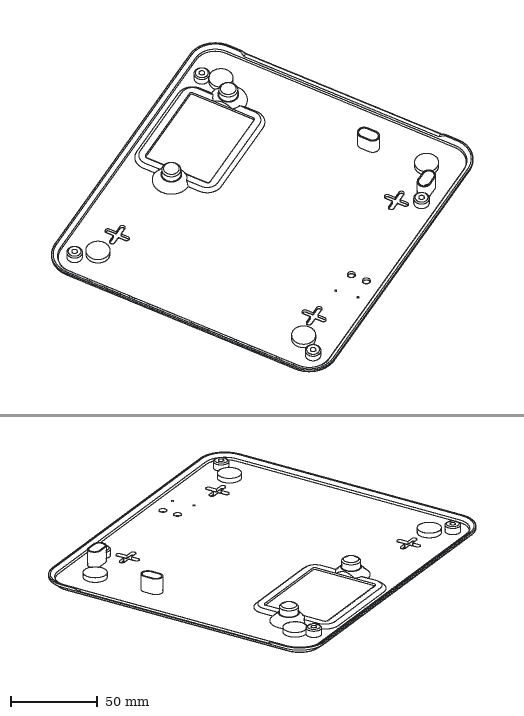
import cadquery as cq

LENGTH_X = 183.33
LENGTH_Y = 196.83
TOTAL_HEIGHT = 12.0
FLOOR_TOP = 2.0
RIM_HEIGHT = 5.0
CORNER_RADIUS = 16.5
FLARE_HEIGHT = 3.6
FLARE_INSET = 4.2
RIM_WIDTH = 1.0
FLOOR_INSET = 3.9
FLOOR_WALL_HEIGHT = 1.4
FLOOR_WALL_RUN = 0.4

NOTCH_DEPTH = 1.0
NOTCH_BOTTOM_LENGTH = 128.0
NOTCH_END_RUN = 3.0
NOTCH_REACH = 6.0

FRAME_CENTER = (-57.0, 29.6)
FRAME_SIZE = (55.5, 69.0)
FRAME_TOP = 4.0
FRAME_SLOPE_INSET = 2.3
FRAME_CORNER_RADIUS = 9.3
RECESS_SIZE = (42.4, 56.0)
RECESS_FLOOR = 3.0
RECESS_WALL_INSET = 0.4
RECESS_CORNER_RADIUS = 1.5

POST_SPACING = 69.0
CONE_BOTTOM_DIAMETER = 22.0
CONE_TOP_DIAMETER = 12.0
CONE_TOP = 7.0
POST_DIAMETER = 11.0
POST_CHAMFER = 1.0

PAD_DIAMETER = 14.0
PAD_HEIGHT = 3.0
PAD_OFFSET = (67.5, 74.5)

SCREW_BOSS_DIAMETER = 9.0
SCREW_BOSS_TOP = 6.8
SCREW_BOSS_CHAMFER = 0.8
SCREW_HOLE_DIAMETER = 3.2
SCREW_X = 78.25
SCREW_POINTS = [(-SCREW_X, 71.3), (SCREW_X, 48.5), (-SCREW_X, -82.9), (SCREW_X, -82.9)]

SLEEVE_LENGTH = 13.5
SLEEVE_WIDTH = 8.0
SLEEVE_BORE_WIDTH = 6.5
SLEEVES = [((30.6, 72.2), 0), ((76.0, 58.6), 90)]

CROSS_LENGTH = 15.4
CROSS_WIDTH = 3.2
CROSS_X = 64.6
CROSS_POINTS = [(CROSS_X, 43.2), (CROSS_X, -56.4), (-CROSS_X, -56.4)]

LIGHT_HOLE_DIAMETER = 4.5
LIGHT_HOLE_POINTS = [(68.6, -18.7), (78.5, -18.7)]
PIN_HOLE_DIAMETER = 1.0
PIN_HOLE_POINTS = [(66.5, -33.6), (80.2, -32.1)]


def rounded_sketch(size, radius):
    return cq.Sketch().rect(size[0], size[1]).vertices().fillet(radius)


def rounded_frustum(size, radius, bottom_inset, top_inset, z_bottom, z_top):
    """Rounded rectangle, inset by different amounts at its bottom and top."""
    def section(inset):
        return rounded_sketch((size[0] - 2 * inset, size[1] - 2 * inset), radius - inset)

    bottom = section(bottom_inset)
    top = section(top_inset).moved(cq.Location(cq.Vector(0, 0, z_top - z_bottom)))
    return cq.Workplane("XY").workplane(offset=z_bottom).placeSketch(bottom, top).loft()


def cylinders(points, diameter, z_bottom, z_top):
    plane = cq.Workplane("XY").workplane(offset=z_bottom)
    return plane.pushPoints(points).circle(diameter / 2).extrude(z_top - z_bottom)


def slot(center, length, width, angle, z_bottom, z_top):
    plane = cq.Workplane("XY").workplane(offset=z_bottom)
    return plane.center(*center).slot2D(length, width, angle).extrude(z_top - z_bottom)


def make_tray():
    size = (LENGTH_X, LENGTH_Y)
    flare = rounded_frustum(size, CORNER_RADIUS, FLARE_INSET, 0, 0, FLARE_HEIGHT)
    lip = (
        cq.Workplane("XY")
        .workplane(offset=FLARE_HEIGHT)
        .placeSketch(rounded_sketch(size, CORNER_RADIUS))
        .extrude(RIM_HEIGHT - FLARE_HEIGHT)
    )
    slope_bottom = FLOOR_TOP + FLOOR_WALL_HEIGHT
    slope_inset = FLOOR_INSET - FLOOR_WALL_RUN
    floor_pocket = rounded_frustum(
        size, CORNER_RADIUS, FLOOR_INSET, slope_inset, FLOOR_TOP, slope_bottom
    )
    slope = rounded_frustum(size, CORNER_RADIUS, slope_inset, RIM_WIDTH, slope_bottom, RIM_HEIGHT)
    return flare.union(lip).cut(floor_pocket).cut(slope)


def make_rim_notch():
    half_bottom = NOTCH_BOTTOM_LENGTH / 2
    half_top = half_bottom + NOTCH_END_RUN
    z_bottom = RIM_HEIGHT - NOTCH_DEPTH
    return (
        cq.Workplane("XZ", origin=(0, LENGTH_Y / 2, 0))
        .moveTo(-half_bottom, z_bottom)
        .lineTo(half_bottom, z_bottom)
        .lineTo(half_top, RIM_HEIGHT)
        .lineTo(-half_top, RIM_HEIGHT)
        .close()
        .extrude(NOTCH_REACH)
    )


def make_frame():
    frame = rounded_frustum(
        FRAME_SIZE, FRAME_CORNER_RADIUS, 0, FRAME_SLOPE_INSET, FLOOR_TOP, FRAME_TOP
    )
    return frame.translate((*FRAME_CENTER, 0))


def make_recess():
    """Recess with sloped walls, continued straight up to clear the cone feet."""
    slope = rounded_frustum(
        RECESS_SIZE, RECESS_CORNER_RADIUS, RECESS_WALL_INSET, 0, RECESS_FLOOR, FRAME_TOP
    )
    clearance = (
        cq.Workplane("XY")
        .workplane(offset=FRAME_TOP)
        .placeSketch(rounded_sketch(RECESS_SIZE, RECESS_CORNER_RADIUS))
        .extrude(TOTAL_HEIGHT - FRAME_TOP)
    )
    return slope.union(clearance).translate((*FRAME_CENTER, 0))


def make_post(center):
    post_radius = POST_DIAMETER / 2
    return (
        cq.Workplane("XZ")
        .moveTo(0, FLOOR_TOP)
        .lineTo(CONE_BOTTOM_DIAMETER / 2, FLOOR_TOP)
        .lineTo(CONE_TOP_DIAMETER / 2, CONE_TOP)
        .lineTo(post_radius, CONE_TOP)
        .lineTo(post_radius, TOTAL_HEIGHT - POST_CHAMFER)
        .lineTo(post_radius - POST_CHAMFER, TOTAL_HEIGHT)
        .lineTo(0, TOTAL_HEIGHT)
        .close()
        .revolve(360, (0, 0), (0, 1))
        .translate((*center, 0))
    )


def make_pads():
    pad_x, pad_y = PAD_OFFSET
    points = [(sx * pad_x, sy * pad_y) for sx in (-1, 1) for sy in (-1, 1)]
    return cylinders(points, PAD_DIAMETER, FLOOR_TOP, FLOOR_TOP + PAD_HEIGHT)


def make_screw_bosses():
    bosses = cylinders(SCREW_POINTS, SCREW_BOSS_DIAMETER, FLOOR_TOP, SCREW_BOSS_TOP)
    return bosses.faces(">Z").edges().chamfer(SCREW_BOSS_CHAMFER)


def make_cross(center):
    bar = slot(center, CROSS_LENGTH, CROSS_WIDTH, 0, 0, FLOOR_TOP)
    return bar.union(slot(center, CROSS_LENGTH, CROSS_WIDTH, 90, 0, FLOOR_TOP))


result = make_tray().cut(make_rim_notch()).union(make_frame())
for side in (-1, 1):
    post_y = FRAME_CENTER[1] + side * POST_SPACING / 2
    result = result.union(make_post((FRAME_CENTER[0], post_y)))
result = result.cut(make_recess())
result = result.union(make_pads()).union(make_screw_bosses())

for sleeve_center, sleeve_angle in SLEEVES:
    sleeve = slot(sleeve_center, SLEEVE_LENGTH, SLEEVE_WIDTH, sleeve_angle, FLOOR_TOP, TOTAL_HEIGHT)
    result = result.union(sleeve)
for sleeve_center, sleeve_angle in SLEEVES:
    bore_length = SLEEVE_LENGTH - SLEEVE_WIDTH + SLEEVE_BORE_WIDTH
    bore = slot(sleeve_center, bore_length, SLEEVE_BORE_WIDTH, sleeve_angle, 0, TOTAL_HEIGHT)
    result = result.cut(bore)

result = result.cut(cylinders(SCREW_POINTS, SCREW_HOLE_DIAMETER, 0, SCREW_BOSS_TOP))
for cross_center in CROSS_POINTS:
    result = result.cut(make_cross(cross_center))
result = result.cut(cylinders(LIGHT_HOLE_POINTS, LIGHT_HOLE_DIAMETER, 0, FLOOR_TOP))
result = result.cut(cylinders(PIN_HOLE_POINTS, PIN_HOLE_DIAMETER, 0, FLOOR_TOP))